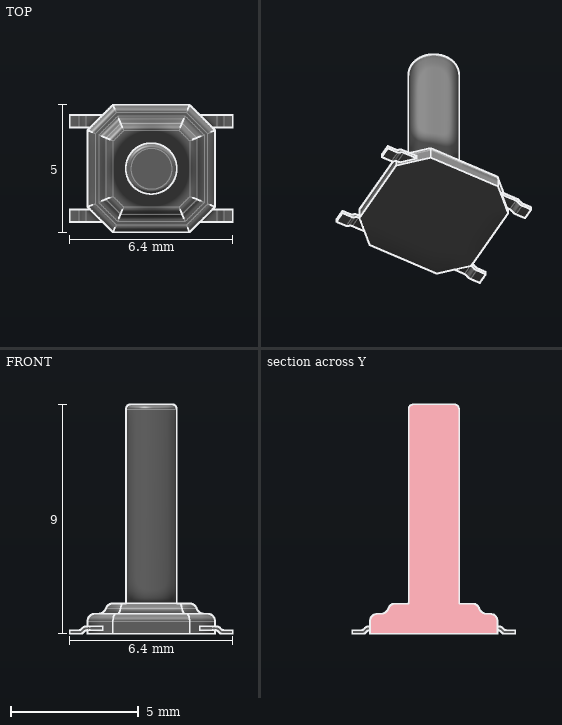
import cadquery as cq
import math

body_width = 5.0
corner_cut = 1.0
base_height = 0.8
base_round = 0.3
platform_height = 1.2
platform_inset = 1.0
platform_round = 0.3

plunger_radius = 1.0
plunger_round = 0.2
total_height = 9.0

lead_tip = 3.2
lead_root = 1.5
lead_inner_edge = 1.6
lead_width = 0.5
lead_thickness = 0.15
step_height = 0.15
step_outer = 2.84
step_inner = 2.565
step_slope = math.radians(45)

side_distance = body_width / 2
corner_distance = (body_width - corner_cut) / math.sqrt(2)


def profile_prism(distance, turn):
    """Housing cross-section with its sides at +-distance, extruded and turned about Z."""
    rise = platform_height - base_height
    flank_run = math.sqrt(rise * (4 * platform_round - rise))
    platform_edge = distance - platform_inset
    flank_foot = platform_edge + flank_run
    flank_middle = platform_edge + flank_run / 2
    middle_height = base_height + rise / 2
    round_start = base_height - base_round
    base_edge = distance - base_round

    right_half = (
        cq.Workplane("XZ")
        .moveTo(0, 0)
        .lineTo(distance, 0)
        .lineTo(distance, round_start)
        .tangentArcPoint((base_edge, base_height), relative=False)
        .lineTo(flank_foot, base_height)
        .tangentArcPoint((flank_middle, middle_height), relative=False)
        .tangentArcPoint((platform_edge, platform_height), relative=False)
        .lineTo(0, platform_height)
        .close()
        .extrude(body_width, both=True)
    )
    left_half = right_half.mirror("YZ")
    return right_half.union(left_half).rotate((0, 0, 0), (0, 0, 1), turn)


def make_housing():
    """Mitre the side and corner profiles together by intersecting their prisms."""
    housing = profile_prism(side_distance, 0)
    housing = housing.intersect(profile_prism(side_distance, 90))
    for turn in (45, 135):
        housing = housing.intersect(profile_prism(corner_distance, turn))
    return housing


def make_plunger():
    return (
        cq.Workplane("XY")
        .circle(plunger_radius)
        .extrude(total_height)
        .faces(">Z")
        .edges()
        .fillet(plunger_round)
    )


def make_lead():
    """Lead on the +X, +Y corner."""
    lead_top = step_height + lead_thickness
    underside_shift = lead_thickness * math.tan(step_slope / 2)
    lower_outer = step_outer - underside_shift
    lower_inner = step_inner - underside_shift
    inward = (-1, 0)
    outward = (1, 0)
    return (
        cq.Workplane("XZ", origin=(0, lead_inner_edge, 0))
        .moveTo(lead_tip, 0)
        .lineTo(lead_tip, lead_thickness)
        .lineTo(step_outer, lead_thickness)
        .spline([(step_inner, lead_top)], tangents=[inward, inward], includeCurrent=True)
        .lineTo(lead_root, lead_top)
        .lineTo(lead_root, step_height)
        .lineTo(lower_inner, step_height)
        .spline([(lower_outer, 0)], tangents=[outward, outward], includeCurrent=True)
        .close()
        .extrude(-lead_width)
    )


result = make_housing().union(make_plunger())
right_rear_lead = make_lead()
right_front_lead = right_rear_lead.mirror("XZ")
for lead in (right_rear_lead, right_front_lead):
    result = result.union(lead).union(lead.mirror("YZ"))